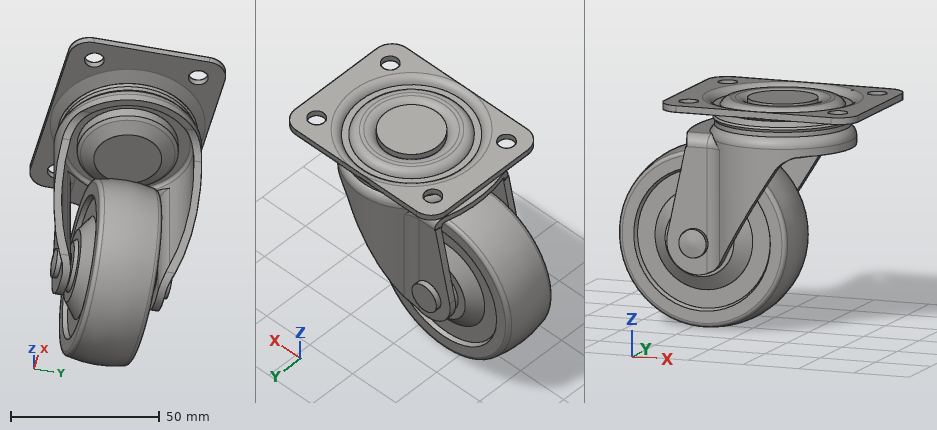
import cadquery as cq
import math


plate_length = 70.1
plate_width = 54.0
plate_thickness = 2.3
plate_corner_radius = 7.0
bolt_spacing_x = 54.0
bolt_spacing_y = 36.0
bolt_hole_diameter = 6.6

dish_bottom = -4.4
dish_top_radius = 26.1
dish_bottom_radius = 19.6
trough_depth = 2.3
trough_outer_rim = 27.1
trough_outer_floor = 23.6
trough_inner_floor = 21.1
trough_inner_rim = 17.6
pin_groove_depth = 2.6
pin_groove_rim = 16.1
pin_radius = 11.9

ring_top_radius = 19.95
ring_shoulder_z = -5.9
ring_shoulder_radius = 23.0
ring_edge_z = -6.6
ring_edge_radius = 23.6
ring_band_z = -7.5
ring_band_radius = 23.1

crown_top = -9.15
crown_radius = 24.9
crown_round = 3.8
skirt_bottom = -15.7
fork_thickness = 2.65
leg_half_width = 17.9
bridge_top = -11.4
bridge_thickness = 2.3
bridge_round = 4.2
bridge_front = -30.9
bridge_front_radius = 52.2
leg_blend_radius = 8.5
foot_x = -24.1
foot_radius = 10.9
front_edge_lean = math.radians(12.2)
rear_edge_slope = math.radians(57.8)
rear_edge_round = 10.9

cup_radius = 17.0
cup_wall_bottom = -15.4
cup_shoulder_radius = 15.9
cup_shoulder_z = -16.4
cup_bottom_radius = 11.4
cup_bottom = -18.85

wheel_x = -25.0
wheel_z = -48.5
wheel_radius = 31.5
tread_edge_radius = 30.4
wheel_half_width = 10.8
tyre_round = 1.5
rim_radius = 24.7
web_outer_radius = 24.0
web_half_width = 9.15
hub_root_radius = 17.7
hub_face_radius = 12.4
hub_half_width = 13.2
bush_root_radius = 9.15
bush_face_radius = 8.05
bush_half_width = 14.5

axle_radius = 4.0
head_radius = 5.7
head_thickness = 2.2
rivet_radius = 4.9
rivet_thickness = 1.65
rivet_tip_height = 0.9


def lip_midpoint(start_radius, floor_radius, depth):
    """Middle of the rounded lip that leaves the flat rim at Z = 0 and drops to a groove floor."""
    run = floor_radius - start_radius
    half_angle = math.atan2(depth, abs(run))
    lip_radius = math.hypot(run, depth) / (2 * math.sin(half_angle))
    radius = start_radius + math.copysign(lip_radius * math.sin(half_angle), run)
    return radius, -lip_radius * (1 - math.cos(half_angle))


def revolve_about_swivel(profile):
    """Full turn about Z of a closed profile drawn in the XZ plane."""
    return profile.close().revolve(360, (0, 0, 0), (0, 1, 0))


def mounting_plate():
    """Plate with the pressed dish, the swivel pin and four bolt holes."""
    flat = (
        cq.Workplane("XY")
        .workplane(offset=-plate_thickness)
        .rect(plate_length, plate_width)
        .extrude(plate_thickness)
        .edges("|Z")
        .fillet(plate_corner_radius)
    )
    dish = revolve_about_swivel(
        cq.Workplane("XZ")
        .moveTo(0, -plate_thickness / 2)
        .lineTo(dish_top_radius, -plate_thickness / 2)
        .lineTo(dish_top_radius, -plate_thickness)
        .lineTo(dish_bottom_radius, dish_bottom)
        .lineTo(pin_radius, dish_bottom)
        .lineTo(pin_radius, crown_top)
        .lineTo(0, crown_top)
    )
    trough = revolve_about_swivel(
        cq.Workplane("XZ")
        .moveTo(trough_outer_rim, 0)
        .threePointArc(
            lip_midpoint(trough_outer_rim, trough_outer_floor, trough_depth),
            (trough_outer_floor, -trough_depth),
        )
        .lineTo(trough_inner_floor, -trough_depth)
        .threePointArc(
            lip_midpoint(trough_inner_rim, trough_inner_floor, trough_depth),
            (trough_inner_rim, 0),
        )
    )
    pin_groove = revolve_about_swivel(
        cq.Workplane("XZ")
        .moveTo(pin_groove_rim, 0)
        .threePointArc(
            lip_midpoint(pin_groove_rim, pin_radius, pin_groove_depth),
            (pin_radius, -pin_groove_depth),
        )
        .lineTo(pin_radius, 0)
    )
    bolt_holes = (
        cq.Workplane("XY")
        .rarray(bolt_spacing_x, bolt_spacing_y, 2, 2)
        .circle(bolt_hole_diameter / 2)
        .extrude(-plate_thickness)
    )
    return flat.union(dish).cut(trough).cut(pin_groove).cut(bolt_holes)


def seal_ring():
    """Edged ring around the swivel pin, filling the space between the dish and the crown."""
    return revolve_about_swivel(
        cq.Workplane("XZ")
        .moveTo(pin_radius, dish_bottom)
        .lineTo(ring_top_radius, dish_bottom)
        .lineTo(ring_shoulder_radius, ring_shoulder_z)
        .lineTo(ring_edge_radius, ring_edge_z)
        .lineTo(ring_band_radius, ring_band_z)
        .lineTo(ring_band_radius, crown_top)
        .lineTo(pin_radius, crown_top)
    )


def fork_envelope(inset, bridge_inset, front_x):
    """Solid inside the fork's outer skin, or inside its inner skin when inset by the thicknesses."""
    bottom = wheel_z - 2 * foot_radius
    half_width = leg_half_width - inset
    round_radius = crown_radius - inset

    blend_y = leg_half_width + leg_blend_radius
    blend_to_axis = crown_radius + leg_blend_radius
    blend_x = -math.sqrt(blend_to_axis**2 - blend_y**2)
    blend_radius = leg_blend_radius + inset
    blend_end_x = blend_x * round_radius / blend_to_axis
    blend_end_y = blend_y * round_radius / blend_to_axis
    half_turn = math.atan2(-blend_x, blend_y) / 2
    blend_mid_x = blend_x + blend_radius * math.sin(half_turn)
    blend_mid_y = blend_y - blend_radius * math.cos(half_turn)

    legs = (
        cq.Workplane("XY")
        .workplane(offset=bottom)
        .moveTo(blend_x, half_width)
        .threePointArc((blend_mid_x, blend_mid_y), (blend_end_x, blend_end_y))
        .threePointArc((round_radius, 0), (blend_end_x, -blend_end_y))
        .threePointArc((blend_mid_x, -blend_mid_y), (blend_x, -half_width))
        .lineTo(front_x, -half_width)
        .lineTo(front_x, half_width)
        .close()
        .extrude(bridge_top - bridge_inset - bottom)
        .faces(">Z")
        .edges("not <X")
        .fillet(bridge_round - inset)
    )
    crown = (
        cq.Workplane("XY")
        .workplane(offset=skirt_bottom)
        .circle(round_radius)
        .extrude(crown_top - inset - skirt_bottom)
        .faces(">Z")
        .edges()
        .fillet(crown_round - inset)
    )
    return legs.union(crown)


def fork_side_outline():
    """Side shape of the fork: skirt, sloping leg edges and round feet, as a slab across Y."""
    reach = 2 * crown_radius
    rear_sin = math.sin(rear_edge_slope)
    rear_cos = math.cos(rear_edge_slope)
    rear_x = foot_x + foot_radius * rear_sin
    rear_z = wheel_z - foot_radius * rear_cos
    front_x = foot_x - foot_radius * math.cos(front_edge_lean)
    front_z = wheel_z + foot_radius * math.sin(front_edge_lean)
    front_top_x = front_x + (skirt_bottom - front_z) * math.tan(front_edge_lean)

    corner_x = rear_x + (skirt_bottom - rear_z) / math.tan(rear_edge_slope)
    setback = rear_edge_round * math.tan(rear_edge_slope / 2)
    round_x = corner_x + setback
    round_z = skirt_bottom - rear_edge_round
    round_mid = (
        round_x - rear_edge_round * math.sin(rear_edge_slope / 2),
        round_z + rear_edge_round * math.cos(rear_edge_slope / 2),
    )
    return (
        cq.Workplane("XZ")
        .moveTo(front_top_x, skirt_bottom)
        .lineTo(-reach, skirt_bottom)
        .lineTo(-reach, 0)
        .lineTo(reach, 0)
        .lineTo(reach, skirt_bottom)
        .lineTo(round_x, skirt_bottom)
        .threePointArc(round_mid, (corner_x - setback * rear_cos, skirt_bottom - setback * rear_sin))
        .lineTo(rear_x, rear_z)
        .threePointArc((foot_x, wheel_z - foot_radius), (front_x, front_z))
        .close()
        .extrude(reach, both=True)
    )


def bridge_trim():
    """Space in front of the bowed front edge of the bridge, above the legs."""
    bow = bridge_front_radius - math.sqrt(bridge_front_radius**2 - leg_half_width**2)
    return (
        cq.Workplane("XY")
        .workplane(offset=skirt_bottom)
        .moveTo(bridge_front + bow, -leg_half_width)
        .threePointArc((bridge_front, 0), (bridge_front + bow, leg_half_width))
        .lineTo(2 * bridge_front, leg_half_width)
        .lineTo(2 * bridge_front, -leg_half_width)
        .close()
        .extrude(bridge_top - skirt_bottom)
    )


def bearing_cup():
    """Cup on the underside of the crown."""
    return revolve_about_swivel(
        cq.Workplane("XZ")
        .moveTo(0, crown_top - fork_thickness / 2)
        .lineTo(cup_radius, crown_top - fork_thickness / 2)
        .lineTo(cup_radius, cup_wall_bottom)
        .lineTo(cup_shoulder_radius, cup_shoulder_z)
        .lineTo(cup_bottom_radius, cup_bottom)
        .lineTo(0, cup_bottom)
    )


def fork():
    """Sheet fork with a round crown, a bowed front bridge and two legs that seat the axle."""
    untrimmed_front = 2 * bridge_front
    open_front = 3 * bridge_front
    outer = fork_envelope(0, 0, untrimmed_front)
    inner = fork_envelope(fork_thickness, bridge_thickness, open_front)
    sheet = outer.cut(inner).intersect(fork_side_outline()).cut(bridge_trim())
    return sheet.union(bearing_cup()).cut(axle())


def axle_profile_plane():
    """XY plane at the wheel centre: its X is the distance from the wheel axis."""
    return cq.Workplane("XY", origin=(wheel_x, 0, wheel_z))


def revolve_about_axle(profile):
    """Full turn about the wheel axis of a profile drawn in the axle profile plane."""
    return profile.close().revolve(360, (0, 0, 0), (0, 1, 0))


def wheel():
    """Wheel with a crowned tread, recessed web, conical hub and bush ends, bored for the axle."""
    tread_half_width = wheel_half_width - tyre_round
    shoulder_radius = tread_edge_radius - tyre_round
    round_mid_step = tyre_round * math.sqrt(0.5)
    return revolve_about_axle(
        axle_profile_plane()
        .moveTo(axle_radius, -bush_half_width)
        .lineTo(bush_face_radius, -bush_half_width)
        .lineTo(bush_root_radius, -hub_half_width)
        .lineTo(hub_face_radius, -hub_half_width)
        .lineTo(hub_root_radius, -web_half_width)
        .lineTo(web_outer_radius, -web_half_width)
        .lineTo(rim_radius, -wheel_half_width)
        .lineTo(shoulder_radius, -wheel_half_width)
        .threePointArc(
            (shoulder_radius + round_mid_step, -tread_half_width - round_mid_step),
            (tread_edge_radius, -tread_half_width),
        )
        .threePointArc((wheel_radius, 0), (tread_edge_radius, tread_half_width))
        .threePointArc(
            (shoulder_radius + round_mid_step, tread_half_width + round_mid_step),
            (shoulder_radius, wheel_half_width),
        )
        .lineTo(rim_radius, wheel_half_width)
        .lineTo(web_outer_radius, web_half_width)
        .lineTo(hub_root_radius, web_half_width)
        .lineTo(hub_face_radius, hub_half_width)
        .lineTo(bush_root_radius, hub_half_width)
        .lineTo(bush_face_radius, bush_half_width)
        .lineTo(axle_radius, bush_half_width)
    )


def axle():
    """Axle with a flat head on the +Y side and a pointed rivet head on the -Y side."""
    rivet_edge_y = -leg_half_width - rivet_thickness
    head_face_y = leg_half_width + head_thickness
    return revolve_about_axle(
        axle_profile_plane()
        .moveTo(0, rivet_edge_y - rivet_tip_height)
        .lineTo(rivet_radius, rivet_edge_y)
        .lineTo(rivet_radius, -leg_half_width)
        .lineTo(axle_radius, -leg_half_width)
        .lineTo(axle_radius, leg_half_width)
        .lineTo(head_radius, leg_half_width)
        .lineTo(head_radius, head_face_y)
        .lineTo(0, head_face_y)
    )


result = cq.Compound.makeCompound(
    [
        mounting_plate().solids().val(),
        seal_ring().solids().val(),
        fork().solids().val(),
        wheel().solids().val(),
        axle().solids().val(),
    ]
)